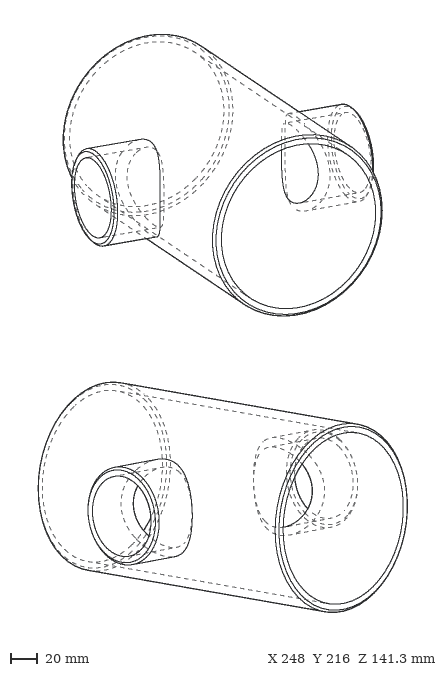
import cadquery as cq

run_length = 248.0
run_outer_diameter = 141.3
run_bore_diameter = 128.5

branch_span = 216.0
branch_outer_diameter = 73.5
branch_bore_diameter = 60.2

bevel = 2.0


def centred_cylinder(plane, diameter, length):
    """Solid cylinder centred on the origin along the normal of the plane."""
    return cq.Workplane(plane).circle(diameter / 2).extrude(length / 2, both=True)


def bevelled_bar(plane, diameter, length):
    """Centred cylinder with both end rims bevelled."""
    return centred_cylinder(plane, diameter, length).edges("%CIRCLE").chamfer(bevel)


run_body = bevelled_bar("YZ", run_outer_diameter, run_length)
branch_body = bevelled_bar("XZ", branch_outer_diameter, branch_span)

run_bore = centred_cylinder("YZ", run_bore_diameter, run_length)
branch_bore = centred_cylinder("XZ", branch_bore_diameter, branch_span)

result = run_body.union(branch_body).cut(run_bore).cut(branch_bore)